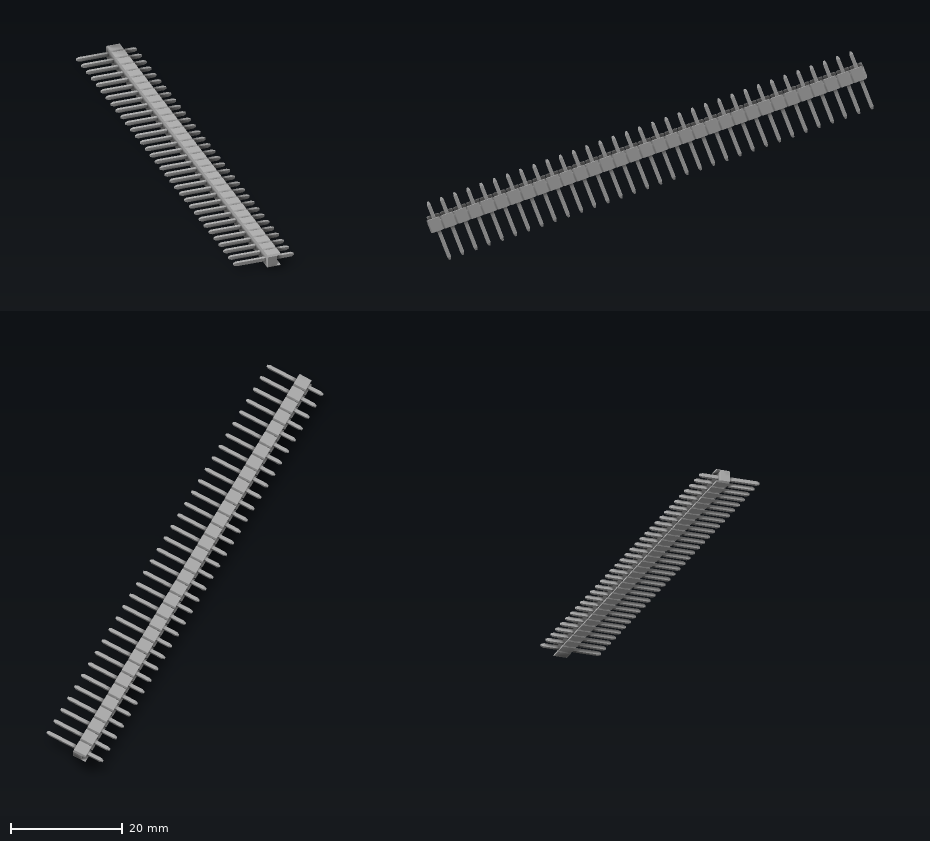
import cadquery as cq

row_length = 83.8
pin_count = 33
pitch = row_length / pin_count

housing_depth = 2.5
housing_height = 2.5
corner_chamfer = 0.3

lip_thickness = 0.25
channel_depth = 0.75
channel_height = housing_height - 2 * lip_thickness

pin_width = 0.64
tip_width = 0.3
tip_length = 0.5
front_reach = 6.1
rear_reach = 2.9
pin_rear = housing_depth + rear_reach

pin_offset = -0.1

cell_positions = [((i - (pin_count - 1) / 2) * pitch, 0) for i in range(pin_count)]


def xz_plane(y):
    """Sketch plane at the given Y whose extrusions grow toward +Y."""
    return cq.Workplane(cq.Plane(origin=(0, y, 0), xDir=(-1, 0, 0), normal=(0, 1, 0)))


def make_housing():
    """Row of octagonal cells; neighbouring chamfers form the V notches."""
    cell = (
        cq.Workplane("XY")
        .box(pitch, housing_depth, housing_height)
        .edges("|Y")
        .chamfer(corner_chamfer)
        .translate((0, housing_depth / 2, 0))
        .val()
    )
    cells = cq.Workplane("XY").pushPoints(cell_positions).eachpoint(cell, combine=True)
    channel = xz_plane(housing_depth - channel_depth).rect(row_length, channel_height).extrude(channel_depth)
    return cells.cut(channel)


def make_tip(base_y, end_y):
    """Pyramid frustum narrowing from the pin section to the tip."""
    return (
        xz_plane(base_y)
        .rect(pin_width, pin_width)
        .workplane(offset=end_y - base_y)
        .rect(tip_width, tip_width)
        .loft(ruled=True)
    )


def make_pin():
    """Square shank through the housing with a tapered tip at each end."""
    shank_front = tip_length - front_reach
    shank_rear = pin_rear - tip_length
    shank = xz_plane(shank_front).rect(pin_width, pin_width).extrude(shank_rear - shank_front)
    front_tip = make_tip(shank_front, -front_reach)
    rear_tip = make_tip(shank_rear, pin_rear)
    return shank.union(front_tip).union(rear_tip).val()


pin = make_pin().translate(cq.Vector(pin_offset, 0, 0))
pins = cq.Workplane("XY").pushPoints(cell_positions).eachpoint(pin, combine=False)

result = make_housing().union(pins)